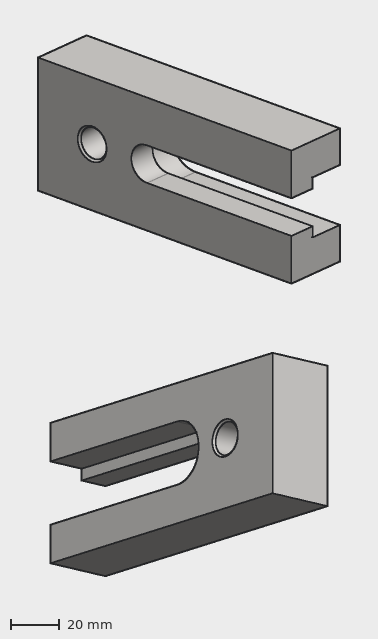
import cadquery as cq

length = 140.0
thickness = 30.0
height = 60.0

slot_width = 17.0
slot_center_x = 60.0

wide_slot_width = 27.0
ledge_y = 13.0

hole_diameter = 14.0
hole_x = thickness
countersink_diameter = 16.0
chamfer_size = (countersink_diameter - hole_diameter) / 2

middle_z = height / 2


def make_block():
    return cq.Workplane("XY").box(length, thickness, height, centered=False)


def make_slot(width, front_y):
    """Round-ended slot cutter from y = front_y to the back face, open at +X."""
    radius = width / 2
    return (
        cq.Workplane("XZ", origin=(0, front_y, 0))
        .moveTo(length, middle_z - radius)
        .lineTo(slot_center_x, middle_z - radius)
        .threePointArc(
            (slot_center_x - radius, middle_z),
            (slot_center_x, middle_z + radius),
        )
        .lineTo(length, middle_z + radius)
        .close()
        .extrude(front_y - thickness)
    )


def make_hole():
    """Bore with a 45 degree chamfer at both mouths, revolved about its axis."""
    bore_radius = hole_diameter / 2
    mouth_radius = countersink_diameter / 2
    return (
        cq.Workplane("XY", origin=(hole_x, 0, middle_z))
        .polyline([
            (0, 0),
            (mouth_radius, 0),
            (bore_radius, chamfer_size),
            (bore_radius, thickness - chamfer_size),
            (mouth_radius, thickness),
            (0, thickness),
        ])
        .close()
        .revolve(360, (0, 0, 0), (0, 1, 0))
    )


result = (
    make_block()
    .cut(make_slot(slot_width, 0))
    .cut(make_slot(wide_slot_width, ledge_y))
    .cut(make_hole())
)